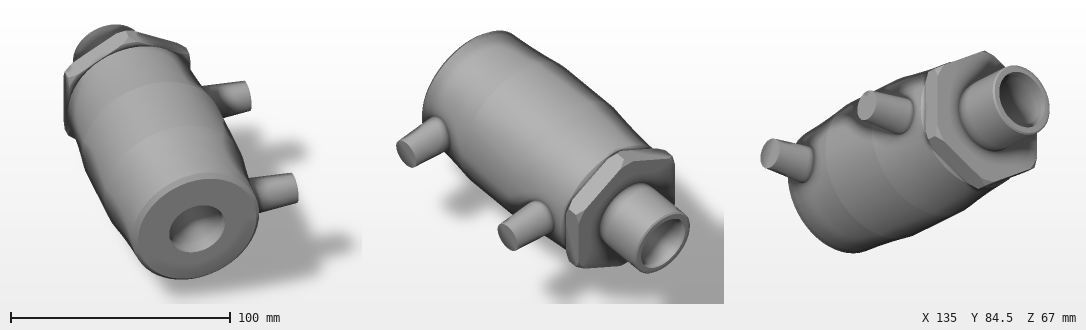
import cadquery as cq

total_length = 135.0
nut_start = 25.2
nut_end = 34.0
barrel_start = 67.6
barrel_end = 101.4

bore_radius = 26.6 / 2
spigot_radius = 33.2 / 2
barrel_radius = 67.0 / 2
end_radius = 30.2
spigot_chamfer = 0.7
body_chamfer = 2.0
taper_dip = 0.4

nut_corner_diameter = 67.0
nut_chamfer = 2.0

shroud_tip_y = 84.5 - barrel_radius
shroud_root_y = (bore_radius + barrel_radius) / 2
shroud_tip_radius = 7.0
shroud_root_radius = 8.9
shroud_positions = (49.1, 119.7)


def make_spigot():
    """Tube that runs into the nut, with a small chamfer on its free end."""
    spigot = cq.Workplane("YZ").circle(spigot_radius).extrude(nut_end)
    return spigot.faces("<X").chamfer(spigot_chamfer)


def make_nut():
    """Hexagon whose corners are trimmed by a cone on both faces."""
    width = nut_end - nut_start
    base = cq.Workplane("YZ", origin=(nut_start, 0, 0))
    hexagon = base.transformed(rotate=(0, 0, 90)).polygon(6, nut_corner_diameter).extrude(width)
    trim = base.circle(nut_corner_diameter / 2).extrude(width).faces("<X or >X").chamfer(nut_chamfer)
    return hexagon.intersect(trim)


def make_body():
    """Revolved sleeve: a cylindrical middle with a slightly hollow, arced taper at each end."""
    left = nut_end + body_chamfer
    right = total_length - body_chamfer
    middle_radius = (end_radius + barrel_radius) / 2 - taper_dip
    profile = (
        cq.Workplane("XY")
        .moveTo(nut_end, 0)
        .lineTo(nut_end, end_radius - body_chamfer)
        .lineTo(left, end_radius)
        .threePointArc(((left + barrel_start) / 2, middle_radius), (barrel_start, barrel_radius))
        .lineTo(barrel_end, barrel_radius)
        .threePointArc(((right + barrel_end) / 2, middle_radius), (right, end_radius))
        .lineTo(total_length, end_radius - body_chamfer)
        .lineTo(total_length, 0)
        .close()
    )
    return profile.revolve(360, (0, 0, 0), (1, 0, 0))


def make_shroud(x):
    """Cone frustum that starts inside the body and narrows toward +Y."""
    cone = cq.Solid.makeCone(
        shroud_root_radius,
        shroud_tip_radius,
        shroud_tip_y - shroud_root_y,
        cq.Vector(x, shroud_root_y, 0),
        cq.Vector(0, 1, 0),
    )
    return cq.Workplane(obj=cone)


part = make_spigot().union(make_nut()).union(make_body())
for position in shroud_positions:
    part = part.union(make_shroud(position))

bore = cq.Workplane("YZ").circle(bore_radius).extrude(total_length)
result = part.cut(bore)